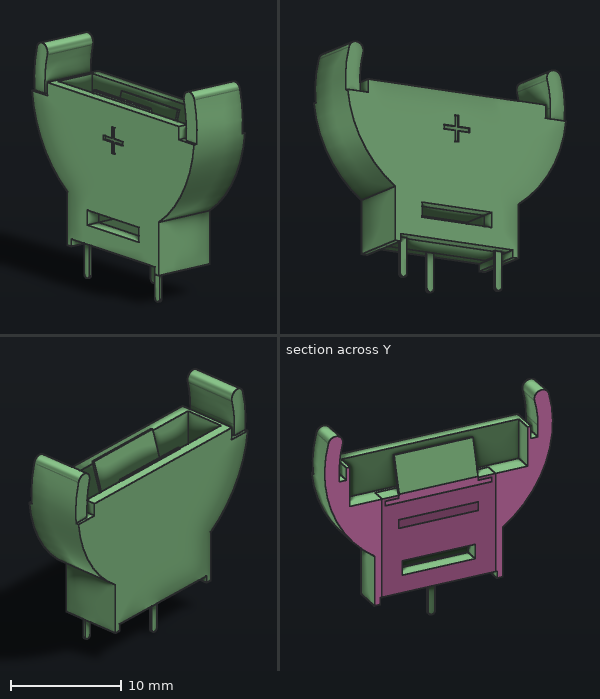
import cadquery as cq
import math


depth = 6.01
front_face = -depth / 2
round_radius = 11.6
round_center_z = 14.65
rim_z = 14.75
rim_half_width = 9.38
shoulder_z = 13.5
base_half_width = 6.52
foot_width = 0.6
underside_z = 0.7

arm_depth = 5.4
arm_thickness = 1.54
arm_tip_angle = 14.9

cavity_half_width = 9.0
cavity_depth = 4.0
cavity_floor_z = 10.75
insert_half_width = 5.75
insert_depth = 3.3

window_half_width = 3.68
window_bottom_z = 2.53
window_top_z = 3.94

plus_z = 11.33
plus_width = 2.72
plus_height = 2.46
plus_bar = 0.4
plus_engraving = 0.2

sheet = 0.24
blade_half_width = 4.0
pin_width = 0.72
pin_pitch = 5.02
pin_bottom_z = -3.0
pin_outer_face = 1.95

front_blade_tilt = 17.2
front_blade_tip_y = -1.84
front_blade_tip_z = 15.05
front_blade_base_z = 2.4

rear_blade_tilt = 16.4
rear_blade_tip_y = 1.31
rear_blade_tip_z = 14.35
rear_leg_base_z = 3.3
rear_bridge_bottom_z = 9.8
rear_bridge_top_z = 10.4


def box(x_range, y_range, z_range):
    size = [end - start for start, end in (x_range, y_range, z_range)]
    corner = (x_range[0], y_range[0], z_range[0])
    return cq.Workplane("XY").box(*size, centered=False).translate(corner)


def round_point(radius, x):
    """Point at x on the lower half of a circle around the round body's center."""
    return (x, round_center_z - math.sqrt(radius**2 - x**2))


def extrude_along_y(sketch, length):
    return sketch.extrude(length / 2, both=True)


def body_block():
    shoulder_drop = round_center_z - shoulder_z
    shoulder_x = math.sqrt(round_radius**2 - shoulder_drop**2)
    corner_x, corner_z = round_point(round_radius, base_half_width)
    flank_x, flank_z = round_point(round_radius, (shoulder_x + base_half_width) / 2)
    foot_inner_x = base_half_width - foot_width
    outline = (
        cq.Workplane("XZ")
        .moveTo(-rim_half_width, rim_z)
        .lineTo(rim_half_width, rim_z)
        .lineTo(rim_half_width, shoulder_z)
        .lineTo(shoulder_x, shoulder_z)
        .threePointArc((flank_x, flank_z), (corner_x, corner_z))
        .lineTo(base_half_width, 0)
        .lineTo(foot_inner_x, 0)
        .lineTo(foot_inner_x, underside_z)
        .lineTo(-foot_inner_x, underside_z)
        .lineTo(-foot_inner_x, 0)
        .lineTo(-base_half_width, 0)
        .lineTo(-corner_x, corner_z)
        .threePointArc((-flank_x, flank_z), (-shoulder_x, shoulder_z))
        .lineTo(-rim_half_width, shoulder_z)
        .close()
    )
    return extrude_along_y(outline, depth)


def arm(side):
    """Curved arm with a full-round tip, on the -X (side = -1) or +X (side = 1) end."""

    def at(radius, degrees):
        angle = math.radians(degrees)
        return (side * radius * math.cos(angle), round_center_z + radius * math.sin(angle))

    inner_radius = round_radius - arm_thickness
    middle_radius = round_radius - arm_thickness / 2
    root_angle = -math.degrees(math.asin((round_center_z - shoulder_z) / round_radius))
    tip_x, tip_z = at(middle_radius, arm_tip_angle)
    tip_direction = math.radians(arm_tip_angle + 90)
    tip_end = (
        tip_x + side * arm_thickness / 2 * math.cos(tip_direction),
        tip_z + arm_thickness / 2 * math.sin(tip_direction),
    )
    outline = (
        cq.Workplane("XZ")
        .moveTo(*at(round_radius, root_angle))
        .threePointArc(at(round_radius, 0), at(round_radius, arm_tip_angle))
        .threePointArc(tip_end, at(inner_radius, arm_tip_angle))
        .threePointArc(at(inner_radius, arm_tip_angle / 2), at(inner_radius, 0))
        .lineTo(side * inner_radius, shoulder_z)
        .close()
    )
    return extrude_along_y(outline, arm_depth)


def plus_mark():
    y_range = (front_face, front_face + plus_engraving)
    bars = [(plus_width, plus_bar), (plus_bar, plus_height)]
    across, upright = [
        box((-width / 2, width / 2), y_range, (plus_z - height / 2, plus_z + height / 2))
        for width, height in bars
    ]
    return across.union(upright)


def insert_block():
    return box(
        (-insert_half_width, insert_half_width),
        (-insert_depth / 2, insert_depth / 2),
        (underside_z, cavity_floor_z),
    )


def blade(lean, tilt, tip_y, tip_z, base_z, half_width):
    """Flat strip rising to its tip while leaning toward lean * Y, cut level at base_z.

    The tip point is the upper corner of the square-cut end, on the face toward the cell.
    """
    angle = math.radians(tilt)
    base_y = tip_y - lean * (tip_z - base_z) * math.tan(angle)
    profile = (
        cq.Workplane("YZ")
        .moveTo(tip_y, tip_z)
        .lineTo(tip_y + lean * sheet * math.cos(angle), tip_z - sheet * math.sin(angle))
        .lineTo(base_y + lean * sheet / math.cos(angle), base_z)
        .lineTo(base_y, base_z)
        .close()
    )
    return profile.extrude(half_width, both=True)


def pin(x, outer_y, top_z):
    """Round-ended pin whose sheet lies inward of the face at outer_y."""
    radius = pin_width / 2
    inner_y = outer_y - math.copysign(sheet, outer_y)
    profile = (
        cq.Workplane("XZ", origin=(0, max(outer_y, inner_y), 0))
        .moveTo(x - radius, top_z)
        .lineTo(x - radius, pin_bottom_z + radius)
        .threePointArc((x, pin_bottom_z), (x + radius, pin_bottom_z + radius))
        .lineTo(x + radius, top_z)
        .close()
    )
    return profile.extrude(sheet)


def front_blade():
    return blade(
        -1, front_blade_tilt, front_blade_tip_y, front_blade_tip_z,
        front_blade_base_z, blade_half_width,
    )


def center_contact():
    """Contact whose blade rises from the rear center pin to the front wall."""
    pin_top_z = front_blade_base_z + sheet / 2
    return front_blade().union(pin(0, pin_outer_face, pin_top_z))


def outer_contact():
    """Contact with two legs that pass beside the other blade and join below the cavity floor."""
    leg_outer_x = pin_pitch + pin_width / 2
    leg_inner_x = pin_pitch - pin_width / 2
    contact = blade(
        1, rear_blade_tilt, rear_blade_tip_y, rear_blade_tip_z, rear_leg_base_z, leg_outer_x
    )
    between_legs = box((-leg_inner_x, leg_inner_x), (-depth, depth), (0, rear_bridge_bottom_z))
    contact = contact.cut(between_legs)
    for side in (-1, 1):
        edges = sorted((side * blade_half_width, side * 2 * leg_outer_x))
        beside_blade = box(edges, (-depth, depth), (rear_bridge_top_z, rim_z))
        contact = contact.cut(beside_blade)
        contact = contact.union(pin(side * pin_pitch, -pin_outer_face, rear_leg_base_z + sheet))
    return contact


def window():
    """Opening from the front face back to the sloping front of the center contact's blade."""
    angle = math.radians(front_blade_tilt)

    def blade_front(z):
        rear_y = front_blade_tip_y + (front_blade_tip_z - z) * math.tan(angle)
        return rear_y - sheet / math.cos(angle)

    profile = (
        cq.Workplane("YZ")
        .moveTo(front_face, window_bottom_z)
        .lineTo(blade_front(window_bottom_z), window_bottom_z)
        .lineTo(blade_front(window_top_z), window_top_z)
        .lineTo(front_face, window_top_z)
        .close()
    )
    return profile.extrude(window_half_width, both=True)


def cell_cavity():
    return box(
        (-cavity_half_width, cavity_half_width),
        (-cavity_depth / 2, cavity_depth / 2),
        (cavity_floor_z, rim_z),
    )


center_terminal = center_contact()
outer_terminal = outer_contact()

housing = body_block().union(arm(-1)).union(arm(1))
housing = housing.cut(cell_cavity()).cut(insert_block()).cut(plus_mark()).cut(window())
housing = housing.cut(center_terminal).cut(outer_terminal)

insert = insert_block().cut(window()).cut(center_terminal).cut(outer_terminal)

result = cq.Compound.makeCompound(
    [housing.val(), insert.val(), center_terminal.val(), outer_terminal.val()]
)